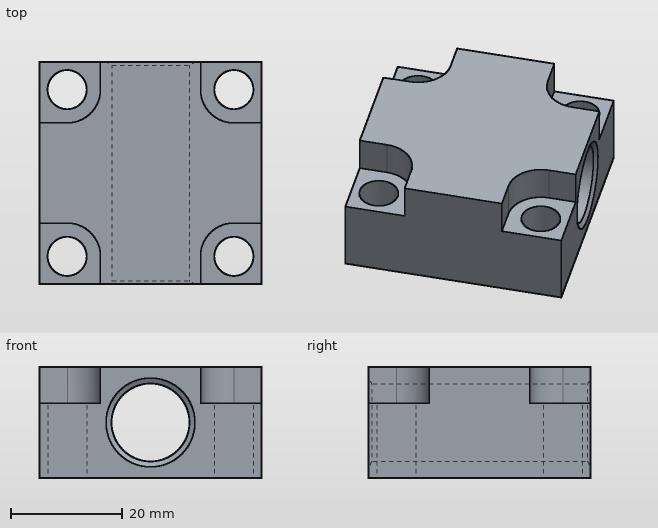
import cadquery as cq

side = 40.0
height = side / 2

bore_diameter = 14.0
mouth_diameter = 16.0
mouth_depth = 0.6

hole_diameter = 7.0
hole_inset = 5.0
pocket_radius = 6.0
pocket_depth = 6.5
pocket_side = hole_inset + pocket_radius


def make_bore():
    """Through bore, centred in the front face and widened at both mouths."""
    bore = (
        cq.Workplane("XZ", origin=(0, side / 2, height / 2))
        .circle(bore_diameter / 2)
        .extrude(side)
    )
    for end in (-1, 1):
        inward = cq.Vector(0, -end, 0)
        mouth_centre = cq.Vector(0, end * side / 2, height / 2)
        mouth = cq.Solid.makeCone(
            mouth_diameter / 2, bore_diameter / 2, mouth_depth, mouth_centre, inward
        )
        bore = bore.union(cq.Workplane(mouth))
    return bore


def make_corner_cut(x_sign, y_sign):
    """Square pocket with its inner corner rounded about the bolt hole axis."""
    pocket_centre = side / 2 - pocket_side / 2
    hole_centre = side / 2 - hole_inset
    inner_x = "<X" if x_sign > 0 else ">X"
    inner_y = "<Y" if y_sign > 0 else ">Y"
    pocket = (
        cq.Workplane("XY", origin=(x_sign * pocket_centre, y_sign * pocket_centre, height - pocket_depth))
        .rect(pocket_side, pocket_side)
        .extrude(pocket_depth)
        .edges(f"|Z and {inner_x} and {inner_y}")
        .fillet(pocket_radius)
    )
    hole = (
        cq.Workplane("XY", origin=(x_sign * hole_centre, y_sign * hole_centre, 0))
        .circle(hole_diameter / 2)
        .extrude(height)
    )
    return pocket.union(hole)


result = cq.Workplane("XY").box(side, side, height, centered=(True, True, False))
result = result.cut(make_bore())
for x_sign in (-1, 1):
    for y_sign in (-1, 1):
        result = result.cut(make_corner_cut(x_sign, y_sign))